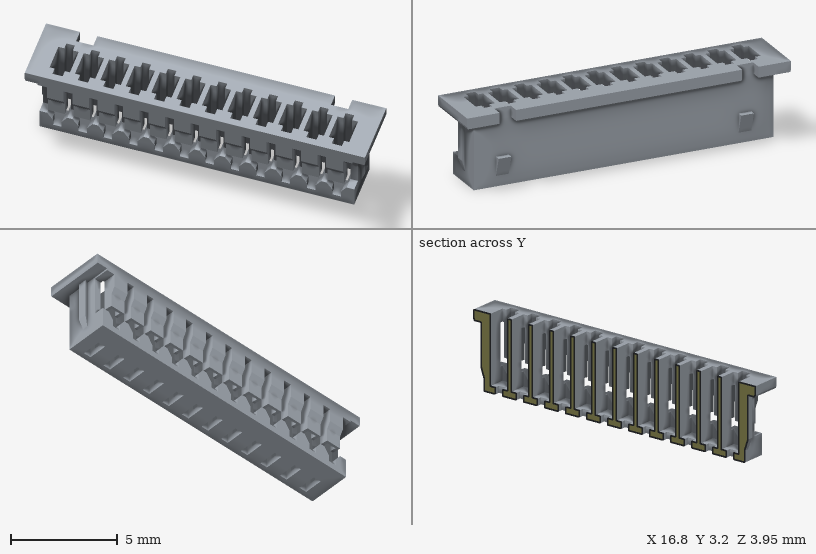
import cadquery as cq


contact_count = 12
pitch = 1.25
end_margin = 1.5
flange_length = (contact_count - 1) * pitch + 2 * end_margin
flange_depth = 3.2
height = 3.95
flange_thickness = 0.55
flange_bottom = height - flange_thickness
flange_chamfer_height = 0.1
flange_chamfer_width = 0.03

body_length = 15.5
body_back = 2.6
ledge_front = 0.3
ledge_top = 1.1
pillar_front = 0.85
slit_top = 3.3

arm_width = 0.82
arm_back = 0.69
arm_lower_front = 0.2
arm_bottom_front = 1.45
arm_bottom_back = 1.52
arm_step_top = 2.55
arm_step_bottom = 2.2

cavity_width = 1.0
cavity_front = arm_back
cavity_back = 2.01
cavity_floor = 0.35
front_groove_width = 0.5
front_groove_front = 0.35
rear_groove_width = 0.42
rear_groove_back = 2.32
through_hole_front = 1.33

slot_width = 0.42
funnel_bottom = 0.7

latch_offset = 6.275
latch_width = 0.66
latch_reach = 0.3
latch_bottom = 0.53
latch_top = 1.5
notch_width = 0.85

rib_front = 1.28
rib_back = 1.73
rib_reach = 0.2
rib_taper_top = 1.2
rib_bottom = 0.6
rib_root_inset = 0.08

contact_places = [(i - (contact_count - 1) / 2) * pitch for i in range(contact_count)]


def block(x_center, width, y_range, z_range):
    """Box centred on x_center, spanning the given Y and Z ranges."""
    y_low, y_high = y_range
    z_low, z_high = z_range
    return cq.Workplane("XY").box(
        width, y_high - y_low, z_high - z_low, centered=(True, False, False)
    ).translate((x_center, y_low, z_low))


def side_profile(points, x_center, width):
    """Prism of a (Y, Z) outline, centred on x_center along X."""
    prism = cq.Workplane("YZ").polyline(points).close().extrude(width / 2, both=True)
    return prism.translate((x_center, 0, 0))


def make_flange():
    """Top flange with the lower edges of its two ends chamfered."""
    half = flange_length / 2
    chamfer_top = flange_bottom + flange_chamfer_height
    outline = [
        (-half, height),
        (-half, chamfer_top),
        (-half + flange_chamfer_width, flange_bottom),
        (half - flange_chamfer_width, flange_bottom),
        (half, chamfer_top),
        (half, height),
    ]
    return cq.Workplane("XZ").polyline(outline).close().extrude(-flange_depth)


def make_body():
    """Body with a stepped front: head, recessed pillars and bottom ledge."""
    outline = [
        (0, flange_bottom),
        (0, slit_top),
        (pillar_front, slit_top),
        (pillar_front, ledge_top),
        (ledge_front, ledge_top),
        (ledge_front, 0),
        (body_back, 0),
        (body_back, flange_bottom),
    ]
    return side_profile(outline, 0, body_length)


def make_arm(x_center):
    """Front arm with a thinner lower end."""
    outline = [
        (0, slit_top),
        (0, arm_step_top),
        (arm_lower_front, arm_step_bottom),
        (arm_lower_front, arm_bottom_front),
        (arm_back, arm_bottom_back),
        (arm_back, slit_top),
    ]
    return side_profile(outline, x_center, arm_width)


def make_cavity(x_center):
    """Contact cavity with front and rear grooves and a hole through the floor."""
    depth = (cavity_floor, height)
    chamber = block(x_center, cavity_width, (cavity_front, cavity_back), depth)
    front_groove = block(x_center, front_groove_width, (front_groove_front, cavity_front), depth)
    rear_hole = block(x_center, rear_groove_width, (through_hole_front, rear_groove_back), (0, height))
    return chamber.union(front_groove).union(rear_hole)


def make_slot(x_center):
    """Slot through the front ledge, flaring to the cavity width at the top."""
    outline = [
        (-slot_width / 2, cavity_floor),
        (slot_width / 2, cavity_floor),
        (slot_width / 2, funnel_bottom),
        (cavity_width / 2, ledge_top),
        (-cavity_width / 2, ledge_top),
        (-slot_width / 2, funnel_bottom),
    ]
    slot = cq.Workplane("XZ").polyline(outline).close().extrude(-cavity_front)
    return slot.translate((x_center, 0, 0))


def make_latch(x_center):
    """Wedge latch on the back wall."""
    outline = [
        (body_back, latch_bottom),
        (body_back, latch_top),
        (body_back + latch_reach, latch_top),
    ]
    return side_profile(outline, x_center, latch_width)


def make_rib():
    """Dovetail rib on the +X end wall, narrower at the wall, its foot sloping back into the wall."""
    wall = body_length / 2
    section = [
        (wall, rib_front + rib_root_inset),
        (wall + rib_reach, rib_front),
        (wall + rib_reach, rib_back),
        (wall, rib_back - rib_root_inset),
    ]
    rib = cq.Workplane("XY", origin=(0, 0, rib_bottom)).polyline(section).close()
    rib = rib.extrude(flange_bottom - rib_bottom)
    below_foot = [
        (wall, rib_bottom),
        (wall + rib_reach, rib_bottom),
        (wall + rib_reach, rib_taper_top),
    ]
    return rib.cut(cq.Workplane("XZ").polyline(below_foot).close().extrude(-flange_depth))


def make_housing():
    housing = make_flange().union(make_body())
    for x in contact_places:
        housing = housing.union(make_arm(x))
    for x in contact_places:
        housing = housing.cut(make_cavity(x)).cut(make_slot(x))
    for x in (-latch_offset, latch_offset):
        notch = block(x, notch_width, (body_back, flange_depth), (flange_bottom, height))
        housing = housing.cut(notch).union(make_latch(x))
    rib = make_rib()
    return housing.union(rib).union(rib.mirror("YZ"))


result = make_housing()